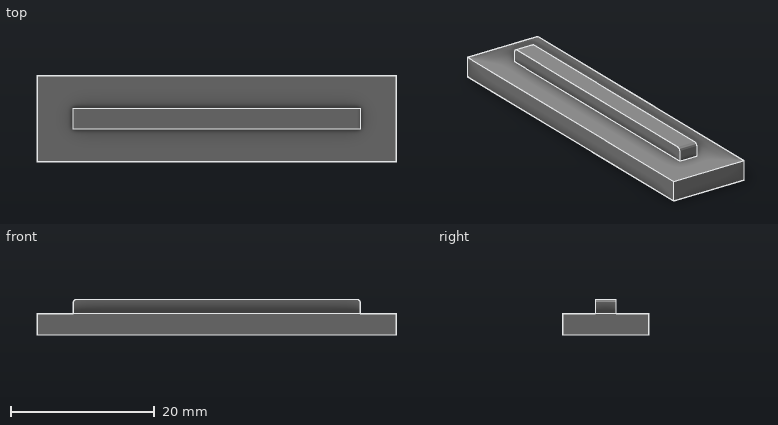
import cadquery as cq

base_length = 50.0
base_width = 12.0
base_height = 3.0

end_margin = 5.0
rail_length = base_length - 2 * end_margin
rail_width = 2.9
rail_height = 2.0
rail_end_radius = 0.5


def make_base():
    """Flat plate centred on the origin."""
    return cq.Workplane("XY").box(base_length, base_width, base_height)


def make_rail():
    """Straight rail with its two upper end edges rounded."""
    rail = cq.Workplane("XY").box(rail_length, rail_width, rail_height)
    rail = rail.faces(">Z").edges("|Y").fillet(rail_end_radius)
    return rail.translate((0, 0, (base_height + rail_height) / 2))


result = make_base().union(make_rail())